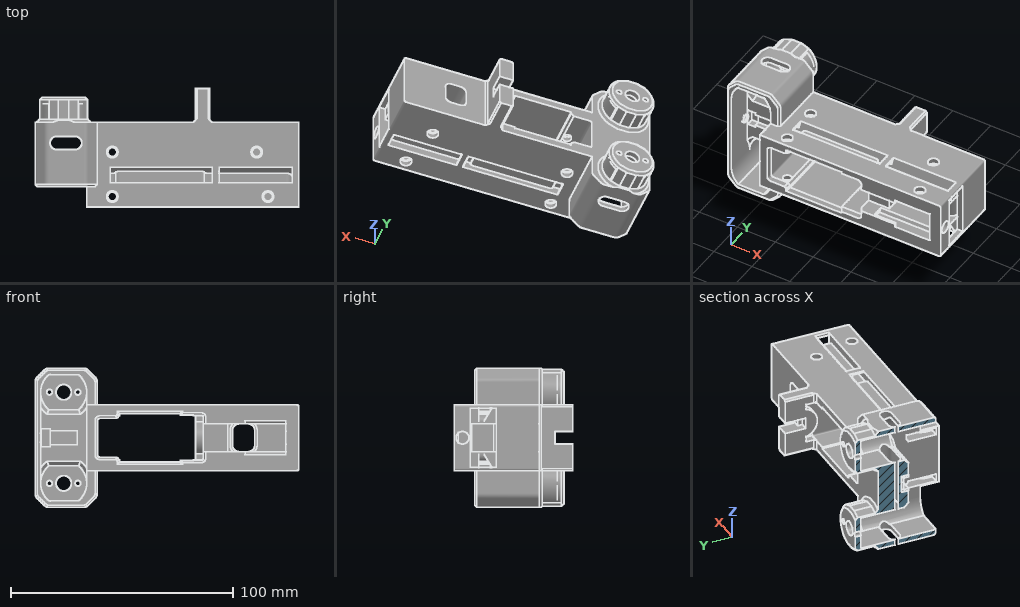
import cadquery as cq
import math

LENGTH = 118.75
BLOCK_DEPTH = 38.25
BLOCK_HALF_Z = 14.85
END_ROUND = 1.0

HOUSING_WIDTH = 28.0
HOUSING_HEIGHT = 62.7
HOUSING_HALF_Z = HOUSING_HEIGHT / 2
HOUSING_FRONT = 9.3
CORNER_CHAMFER = 5.0
CORNER_BLEND = 3.0
RIM_CHAMFER = 1.0
CAVITY_FLOOR = 22.9
MOTOR_X = 12.9
MOTOR_Z = 20.5
MOTOR_RADIUS = 10.35
MOTOR_HALF_FLAT = 7.85
BLOCK_LEFT = MOTOR_X + MOTOR_RADIUS
POCKET_LEAD_IN = 2.1
BOSS_RADIUS = 10.83
BOSS_HALF_FLAT = 10.35
BOSS_FLAT_HALF_WIDTH = 2.35
BOSS_BEVEL_X = 6.45
BOSS_END = 49.5
BOSS_CHAMFER = 1.2
BOSS_FLARE = 1.4
BOSS_END_WALL = 3.0
SHAFT_HOLE_DIA = 6.8
MOTOR_SCREW_DIA = 2.4
MOTOR_SCREW_OFFSET = 6.4
WIRE_SLOT_LENGTH = 14.2
WIRE_SLOT_WIDTH = 5.8
WIRE_SLOT_X = 13.9
WIRE_SLOT_Y = 28.9
RECESS_HEAD_DEPTH = 3.5
RECESS_STEM_DEPTH = 2.5
RECESS_LEFT = 2.9
RECESS_STEP = 6.9
RECESS_RIGHT = 19.1
RECESS_HEAD_HALF_Z = 4.1
RECESS_STEM_HALF_Z = 3.05

FIN_LEFT = 72.1
FIN_RIGHT = 78.7
FIN_END = 53.5
FIN_EDGE_CHAMFER = 0.8
FIN_FLARE = 1.7
FIN_RECESS_Y = 43.0
FIN_RECESS_HALF_Z = 9.85
NOTCH_HALF_Z = 2.7
NOTCH_DEEP_Y = 43.2
NOTCH_SHALLOW_Y = 45.5
NOSE_RADIUS = 7.45
NOSE_Y = 44.9

OPENING_LEFT = 28.15
OPENING_RIGHT = 75.7
OPENING_JOG_LEFT = 36.8
OPENING_JOG_RIGHT = 65.3
OPENING_HALF_Z_LEFT = 8.7
OPENING_HALF_Z_MID = 10.9
OPENING_HALF_Z_RIGHT = 10.15
OPENING_JOG = 1.3
OPENING_CORNER = 1.0
OPENING_LEAD_IN = 1.1
OPENING_LEAD_IN_DEPTH = 2.0

PLUG_RIGHT = 112.9
PLUG_HALF_Z = 6.2
PLUG_WIDE_HALF_Z = 7.7
PLUG_WIDE_LEFT = 94.5
PLUG_DEEP_LEFT = 86.7
PLUG_UNDERCUT_LEFT = 83.2
PLUG_LIP = 1.0
PLUG_WIDE_DEPTH = 5.0
PLUG_SHALLOW_DEPTH = 8.0
WINDOW_LEFT = 88.9
WINDOW_RIGHT = 98.8
WINDOW_ROUND = 2.8
WINDOW_CHAMFER = 1.1
EXIT_HOLE_DIA = 5.7
EXIT_HOLE_Y = 3.8
EXIT_FRONT_Y = 7.3
LIP_END = 115.8
EXIT_BACK_Y = 18.9
EXIT_HALF_Z = 13.3
BACK_ROLL_START = 111.9

CHANNEL_FRONT = 11.05
CHANNEL_BACK = 17.9
CHANNEL_FLOOR = 10.5
CHANNEL_RAISED_FLOOR = 12.0
CHANNEL_ROOF = 14.1
CHANNEL_SLOPE_Y = 15.3
CHANNEL_MOUTH_Y = 1.5
CHANNEL_BEND = 6.65
EXIT_ROLL = 3.0
RAISED_START = 35.0
RAISED_TOP_START = 38.2
RAISED_TOP_END = 74.6
RAISED_END = 77.7
CHANNEL_LEDGE = 12.1
RAISED_ARC_RISE = 0.5
RAISED_STEP_LEFT = 36.4
RAISED_STEP_RIGHT = 76.1
SLOT_SPANS = ((33.9, 79.7), (82.8, LIP_END))

INSERT_DIA = 5.1
INSERT_DEPTH = 3.0
SCREW_DIA = 4.0
SCREW_DEPTH = 6.5
INSERT_POSITIONS = ((34.8, 4.8), (34.8, 24.8), (104.8, 4.8), (99.7, 24.8))
WALL_HOLE_Y = 21.45
WALL_COUNTERBORE = 2.0


def box(x0, x1, y0, y1, z0, z1):
    return cq.Workplane("XY").box(x1 - x0, y1 - y0, z1 - z0, centered=False).translate((x0, y0, z0))


def facing_back(y):
    """Sketch plane at depth y; a negative extrusion goes toward +Y."""
    return cq.Workplane("XZ", origin=(0, y, 0))


def motor_outline(plane, z, grow):
    """Circle around the motor axis, cut flat above and below."""
    radius = MOTOR_RADIUS + grow
    flat = MOTOR_HALF_FLAT + grow
    half_chord = math.sqrt(radius**2 - flat**2)
    return (
        plane.moveTo(MOTOR_X - half_chord, z + flat)
        .lineTo(MOTOR_X + half_chord, z + flat)
        .threePointArc((MOTOR_X + radius, z), (MOTOR_X + half_chord, z - flat))
        .lineTo(MOTOR_X - half_chord, z - flat)
        .threePointArc((MOTOR_X - radius, z), (MOTOR_X - half_chord, z + flat))
        .close()
    )


def boss_outline(plane, z, grow):
    """Circle around the motor axis with a flat and two bevels above and below."""
    radius = BOSS_RADIUS + grow
    scale = radius / BOSS_RADIUS
    flat_z = BOSS_HALF_FLAT + grow
    flat_x = BOSS_FLAT_HALF_WIDTH * scale
    bevel_x = BOSS_BEVEL_X * scale
    bevel_z = math.sqrt(radius**2 - bevel_x**2)
    return (
        plane.moveTo(MOTOR_X - bevel_x, z + bevel_z)
        .lineTo(MOTOR_X - flat_x, z + flat_z)
        .lineTo(MOTOR_X + flat_x, z + flat_z)
        .lineTo(MOTOR_X + bevel_x, z + bevel_z)
        .threePointArc((MOTOR_X + radius, z), (MOTOR_X + bevel_x, z - bevel_z))
        .lineTo(MOTOR_X + flat_x, z - flat_z)
        .lineTo(MOTOR_X - flat_x, z - flat_z)
        .lineTo(MOTOR_X - bevel_x, z - bevel_z)
        .threePointArc((MOTOR_X - radius, z), (MOTOR_X - bevel_x, z + bevel_z))
        .close()
    )


def prism(outline, y0, y1, z):
    return outline(facing_back(y0), z, 0).extrude(y0 - y1)


def taper(outline, y0, y1, z, grow0, grow1):
    """Solid between the outline grown by grow0 at y0 and by grow1 at y1."""
    start = outline(facing_back(y0), z, grow0)
    end = start.workplane(offset=y0 - y1, origin=(0, y0, 0))
    return outline(end, z, grow1).loft(ruled=True)


def make_block():
    block = box(BLOCK_LEFT, LENGTH, 0, BLOCK_DEPTH, -BLOCK_HALF_Z, BLOCK_HALF_Z)
    return block.edges(">X and |Y").fillet(END_ROUND)


def housing_prism(y_end):
    body = box(0, HOUSING_WIDTH, HOUSING_FRONT, y_end, -HOUSING_HALF_Z, HOUSING_HALF_Z)
    return body.edges("|Y").chamfer(CORNER_CHAMFER).edges("|Y").fillet(CORNER_BLEND)


def make_housing():
    housing = housing_prism(BLOCK_DEPTH).faces("<Y").edges().chamfer(RIM_CHAMFER)
    envelope = housing_prism(BOSS_END)
    for z in (-MOTOR_Z, MOTOR_Z):
        tip_start = BOSS_END - BOSS_CHAMFER
        flare_end = BLOCK_DEPTH + BOSS_FLARE
        boss = prism(boss_outline, BLOCK_DEPTH, tip_start, z)
        tip = taper(boss_outline, tip_start, BOSS_END, z, 0, -BOSS_CHAMFER)
        flare = taper(boss_outline, BLOCK_DEPTH, flare_end, z, BOSS_FLARE, 0)
        housing = housing.union(boss).union(tip).union(flare.intersect(envelope))
    return housing


def make_fin():
    fin = box(FIN_LEFT, FIN_RIGHT, BLOCK_DEPTH, FIN_END, -BLOCK_HALF_Z, BLOCK_HALF_Z)
    fin = fin.edges("|Y").chamfer(FIN_EDGE_CHAMFER)
    base = (
        cq.Workplane("XY", origin=(0, 0, -BLOCK_HALF_Z))
        .moveTo(FIN_LEFT - FIN_FLARE + FIN_EDGE_CHAMFER, BLOCK_DEPTH)
        .lineTo(FIN_LEFT + FIN_EDGE_CHAMFER, BLOCK_DEPTH + FIN_FLARE)
        .lineTo(FIN_RIGHT - FIN_EDGE_CHAMFER, BLOCK_DEPTH + FIN_FLARE)
        .lineTo(FIN_RIGHT + FIN_FLARE - FIN_EDGE_CHAMFER, BLOCK_DEPTH)
        .close()
        .extrude(2 * BLOCK_HALF_Z)
    )
    return fin.union(base)


def cut_housing(part):
    left = MOTOR_X - MOTOR_RADIUS
    right = MOTOR_X + MOTOR_RADIUS
    pocket_end = BOSS_END - BOSS_END_WALL
    lead_in_end = CAVITY_FLOOR + POCKET_LEAD_IN
    cavity = box(left, right, HOUSING_FRONT, CAVITY_FLOOR, -MOTOR_Z, MOTOR_Z)
    inner_side = box(left, right, HOUSING_FRONT, BOSS_END, -MOTOR_Z, MOTOR_Z)
    for z in (-MOTOR_Z, MOTOR_Z):
        pocket = prism(motor_outline, HOUSING_FRONT, pocket_end, z)
        lead_in = taper(motor_outline, CAVITY_FLOOR, lead_in_end, z, POCKET_LEAD_IN, 0)
        cavity = cavity.union(pocket).union(lead_in.intersect(inner_side))
    part = part.cut(cavity)

    end_holes = facing_back(CAVITY_FLOOR).pushPoints([(MOTOR_X, -MOTOR_Z), (MOTOR_X, MOTOR_Z)])
    part = part.cut(end_holes.circle(SHAFT_HOLE_DIA / 2).extrude(CAVITY_FLOOR - BOSS_END))
    screw_points = [
        (MOTOR_X + side * MOTOR_SCREW_OFFSET, z) for side in (-1, 1) for z in (-MOTOR_Z, MOTOR_Z)
    ]
    screws = facing_back(CAVITY_FLOOR).pushPoints(screw_points).circle(MOTOR_SCREW_DIA / 2)
    part = part.cut(screws.extrude(CAVITY_FLOOR - BOSS_END))

    wire_slot = (
        cq.Workplane("XY", origin=(WIRE_SLOT_X, WIRE_SLOT_Y, 0))
        .slot2D(WIRE_SLOT_LENGTH, WIRE_SLOT_WIDTH)
        .extrude(HOUSING_HALF_Z, both=True)
    )
    part = part.cut(wire_slot)

    head_y = CAVITY_FLOOR + RECESS_HEAD_DEPTH
    stem_y = CAVITY_FLOOR + RECESS_STEM_DEPTH
    head = box(RECESS_LEFT, RECESS_STEP, CAVITY_FLOOR, head_y, -RECESS_HEAD_HALF_Z, RECESS_HEAD_HALF_Z)
    stem = box(RECESS_STEP, RECESS_RIGHT, CAVITY_FLOOR, stem_y, -RECESS_STEM_HALF_Z, RECESS_STEM_HALF_Z)
    part = part.cut(head).cut(stem)
    wall_hole = cq.Workplane("YZ").center(WALL_HOLE_Y, 0)
    part = part.cut(wall_hole.circle(SCREW_DIA / 2).extrude(RECESS_STEP))
    return part.cut(wall_hole.circle(INSERT_DIA / 2).extrude(WALL_COUNTERBORE))


def opening_outline(grow):
    left = OPENING_LEFT - grow
    right = OPENING_RIGHT + grow
    low = OPENING_HALF_Z_LEFT + grow
    mid = OPENING_HALF_Z_MID + grow
    high = OPENING_HALF_Z_RIGHT + grow
    jog_start = OPENING_JOG_LEFT - grow * math.tan(math.pi / 8)
    jog_end = OPENING_JOG_LEFT + OPENING_JOG - grow
    upper = [
        (left, low),
        (jog_start, low),
        (jog_end, low + jog_end - jog_start),
        (jog_end, mid),
        (OPENING_JOG_RIGHT + grow, mid),
        (OPENING_JOG_RIGHT + grow, high),
        (right, high),
    ]
    lower = [(x, -z) for x, z in reversed(upper)]
    outline = cq.Sketch().polygon(upper + lower + upper[:1])
    corner = OPENING_CORNER + grow
    return outline.vertices("<X or >X").fillet(corner)


def cut_opening(part):
    inner = opening_outline(0)
    outer = opening_outline(OPENING_LEAD_IN)
    through = facing_back(0).placeSketch(inner).extrude(-BLOCK_DEPTH)
    inner_end = inner.moved(cq.Location(cq.Vector(0, 0, -OPENING_LEAD_IN_DEPTH)))
    lead_in = facing_back(0).placeSketch(outer, inner_end).loft(ruled=True)
    fin_recess = box(
        FIN_LEFT - FIN_FLARE, OPENING_RIGHT, BLOCK_DEPTH, FIN_RECESS_Y,
        -FIN_RECESS_HALF_Z, FIN_RECESS_HALF_Z
    )
    part = part.cut(through).cut(lead_in).cut(fin_recess)

    nose = cq.Workplane("YZ", origin=(FIN_LEFT, 0, 0)).center(NOSE_Y, 0).circle(NOSE_RADIUS)
    nose = nose.extrude(OPENING_RIGHT - FIN_LEFT)
    nose = nose.intersect(box(FIN_LEFT, OPENING_RIGHT, 0, FIN_RECESS_Y, -NOSE_RADIUS, NOSE_RADIUS))
    part = part.union(nose)

    deep_notch = box(FIN_LEFT, OPENING_RIGHT, NOTCH_DEEP_Y, FIN_END, -NOTCH_HALF_Z, NOTCH_HALF_Z)
    notch = box(FIN_LEFT, FIN_RIGHT, NOTCH_SHALLOW_Y, FIN_END, -NOTCH_HALF_Z, NOTCH_HALF_Z)
    return part.cut(deep_notch).cut(notch)


def window_prism(grow, y_end):
    """Rounded window through the pocket's back wall, grown all round, up to y_end."""
    half_z = PLUG_HALF_Z + grow
    y_start = CHANNEL_BACK - WINDOW_CHAMFER
    prism_box = box(WINDOW_LEFT - grow, WINDOW_RIGHT + grow, y_start, y_end, -half_z, half_z)
    return prism_box.edges("|Y").fillet(WINDOW_ROUND + grow)


def cut_plug_pocket(part):
    shallow = box(OPENING_RIGHT, PLUG_RIGHT, 0, PLUG_SHALLOW_DEPTH, -PLUG_HALF_Z, PLUG_HALF_Z)
    deep = box(PLUG_DEEP_LEFT, PLUG_RIGHT, 0, CHANNEL_BACK, -PLUG_HALF_Z, PLUG_HALF_Z)
    mouth = box(PLUG_WIDE_LEFT, PLUG_RIGHT, 0, PLUG_WIDE_DEPTH, -PLUG_WIDE_HALF_Z, PLUG_WIDE_HALF_Z)
    slope_end = PLUG_WIDE_DEPTH + PLUG_WIDE_HALF_Z - PLUG_HALF_Z
    undercut = (
        cq.Workplane("YZ", origin=(PLUG_UNDERCUT_LEFT, 0, 0))
        .moveTo(PLUG_LIP, PLUG_WIDE_HALF_Z)
        .lineTo(PLUG_WIDE_DEPTH, PLUG_WIDE_HALF_Z)
        .lineTo(slope_end, PLUG_HALF_Z)
        .lineTo(slope_end, -PLUG_HALF_Z)
        .lineTo(PLUG_WIDE_DEPTH, -PLUG_WIDE_HALF_Z)
        .lineTo(PLUG_LIP, -PLUG_WIDE_HALF_Z)
        .close()
        .extrude(PLUG_RIGHT - PLUG_UNDERCUT_LEFT)
    )
    part = part.cut(shallow).cut(deep).cut(mouth).cut(undercut)

    window = window_prism(0, BLOCK_DEPTH)
    chamfer = window_prism(WINDOW_CHAMFER, CHANNEL_BACK + WINDOW_CHAMFER)
    chamfer = chamfer.faces(">Y").edges().chamfer(WINDOW_CHAMFER)
    chamfer = chamfer.intersect(box(0, LENGTH, 0, BLOCK_DEPTH, -PLUG_HALF_Z, PLUG_HALF_Z))
    part = part.cut(window).cut(chamfer)

    exit_hole = cq.Workplane("YZ", origin=(PLUG_RIGHT, 0, 0)).center(EXIT_HOLE_Y, 0)
    return part.cut(exit_hole.circle(EXIT_HOLE_DIA / 2).extrude(LENGTH - PLUG_RIGHT))


def slope_y(z):
    """Y of the channel's sloped back wall at height z."""
    run_per_rise = (CHANNEL_BACK - CHANNEL_SLOPE_Y) / (BLOCK_HALF_Z - CHANNEL_FLOOR)
    return CHANNEL_SLOPE_Y + (z - CHANNEL_FLOOR) * run_per_rise


def level_arc(level, end):
    """Middle point of the arc that leaves the level point horizontally and reaches end."""
    width = end[0] - level[0]
    height = end[1] - level[1]
    radius = (width**2 + height**2) / (2 * height)
    half_angle = math.asin(width / radius) / 2
    return (level[0] + radius * math.sin(half_angle), level[1] + radius * (1 - math.cos(half_angle)))


def raised_floor():
    """Raised stretch of the channel floor above the main opening."""
    low = CHANNEL_FLOOR + RAISED_ARC_RISE
    high = CHANNEL_RAISED_FLOOR - RAISED_ARC_RISE
    start = (RAISED_START, CHANNEL_FLOOR)
    top_start = (RAISED_TOP_START, CHANNEL_RAISED_FLOOR)
    top_end = (RAISED_TOP_END, CHANNEL_RAISED_FLOOR)
    end = (RAISED_END, CHANNEL_FLOOR)
    left_low, left_high = (RAISED_STEP_LEFT, low), (RAISED_STEP_LEFT, high)
    right_low, right_high = (RAISED_STEP_RIGHT, low), (RAISED_STEP_RIGHT, high)
    return (
        cq.Workplane("XZ")
        .moveTo(*start)
        .threePointArc(level_arc(start, left_low), left_low)
        .lineTo(*left_high)
        .threePointArc(level_arc(top_start, left_high), top_start)
        .lineTo(*top_end)
        .threePointArc(level_arc(top_end, right_high), right_high)
        .lineTo(*right_low)
        .threePointArc(level_arc(end, right_low), end)
        .close()
        .extrude(-BLOCK_DEPTH)
    )


def make_channel():
    ledge_y = slope_y(CHANNEL_LEDGE)
    run = (
        cq.Workplane("YZ", origin=(BLOCK_LEFT, 0, 0))
        .moveTo(CHANNEL_MOUTH_Y, CHANNEL_FLOOR)
        .lineTo(CHANNEL_SLOPE_Y, CHANNEL_FLOOR)
        .lineTo(ledge_y, CHANNEL_LEDGE)
        .lineTo(ledge_y, CHANNEL_ROOF)
        .lineTo(CHANNEL_MOUTH_Y, CHANNEL_ROOF)
        .close()
        .extrude(LIP_END - BLOCK_LEFT)
    )

    bend_end = SLOT_SPANS[0][0]
    bend_start = bend_end - CHANNEL_BEND
    sag = CHANNEL_BEND * (1 - math.sqrt(0.5))
    plan = (
        cq.Workplane("XY")
        .moveTo(BLOCK_LEFT, CHANNEL_MOUTH_Y)
        .lineTo(bend_start, CHANNEL_MOUTH_Y)
        .lineTo(bend_start, CHANNEL_FRONT - CHANNEL_BEND)
        .threePointArc((bend_start + sag, CHANNEL_FRONT - sag), (bend_end, CHANNEL_FRONT))
        .lineTo(LENGTH, CHANNEL_FRONT)
        .lineTo(LENGTH, CHANNEL_BACK)
        .lineTo(BLOCK_LEFT, CHANNEL_BACK)
        .close()
        .extrude(BLOCK_HALF_Z)
    )
    channel = run.intersect(plan).cut(raised_floor())
    slot_section = [
        (CHANNEL_FRONT, CHANNEL_LEDGE),
        (ledge_y, CHANNEL_LEDGE),
        (CHANNEL_BACK, BLOCK_HALF_Z),
        (CHANNEL_FRONT, BLOCK_HALF_Z),
    ]
    for x0, x1 in SLOT_SPANS:
        slot = cq.Workplane("YZ", origin=(x0, 0, 0)).polyline(slot_section).close().extrude(x1 - x0)
        channel = channel.union(slot)
    return channel


def make_end_exit():
    """Opening through the far end, where the plug pocket and both channels come together."""
    roll_back = CHANNEL_BACK + EXIT_ROLL
    chamber = box(BACK_ROLL_START, LIP_END, EXIT_FRONT_Y, roll_back, -PLUG_HALF_Z, PLUG_HALF_Z)
    roll = cq.Workplane("XY", origin=(BACK_ROLL_START, roll_back, -PLUG_HALF_Z))
    chamber = chamber.cut(roll.circle(EXIT_ROLL).extrude(2 * PLUG_HALF_Z))

    relief = (
        cq.Workplane("YZ", origin=(BACK_ROLL_START, 0, 0))
        .moveTo(CHANNEL_FRONT, PLUG_HALF_Z)
        .lineTo(slope_y(PLUG_HALF_Z), PLUG_HALF_Z)
        .lineTo(CHANNEL_SLOPE_Y, CHANNEL_FLOOR)
        .lineTo(CHANNEL_FRONT, CHANNEL_FLOOR)
        .close()
        .extrude(LIP_END - BACK_ROLL_START)
    )
    lip = box(BACK_ROLL_START, LIP_END, 0, BLOCK_DEPTH, PLUG_HALF_Z, CHANNEL_FLOOR)
    relief = relief.cut(lip.edges("|Y and >X and >Z").fillet(EXIT_ROLL))

    window = box(LIP_END, LENGTH, EXIT_FRONT_Y, EXIT_BACK_Y, -EXIT_HALF_Z, EXIT_HALF_Z)
    return window.union(chamber).union(relief).union(relief.mirror("XY"))


def cut_insert(part, plane):
    part = part.cut(plane.circle(INSERT_DIA / 2).extrude(-INSERT_DEPTH))
    return part.cut(plane.circle(SCREW_DIA / 2).extrude(-SCREW_DEPTH))


def cut_inserts(part):
    for x, y in INSERT_POSITIONS:
        top = cq.Workplane("XY", origin=(x, y, BLOCK_HALF_Z))
        bottom = cq.Workplane("XY", origin=(x, y, -BLOCK_HALF_Z)).transformed(rotate=(180, 0, 0))
        part = cut_insert(part, top)
        part = cut_insert(part, bottom)
    return part


result = make_block().union(make_housing()).union(make_fin())
result = cut_housing(result)
result = cut_opening(result)
result = cut_plug_pocket(result)
channel = make_channel()
result = result.cut(channel).cut(channel.mirror("XY"))
result = result.cut(make_end_exit())
result = cut_inserts(result)